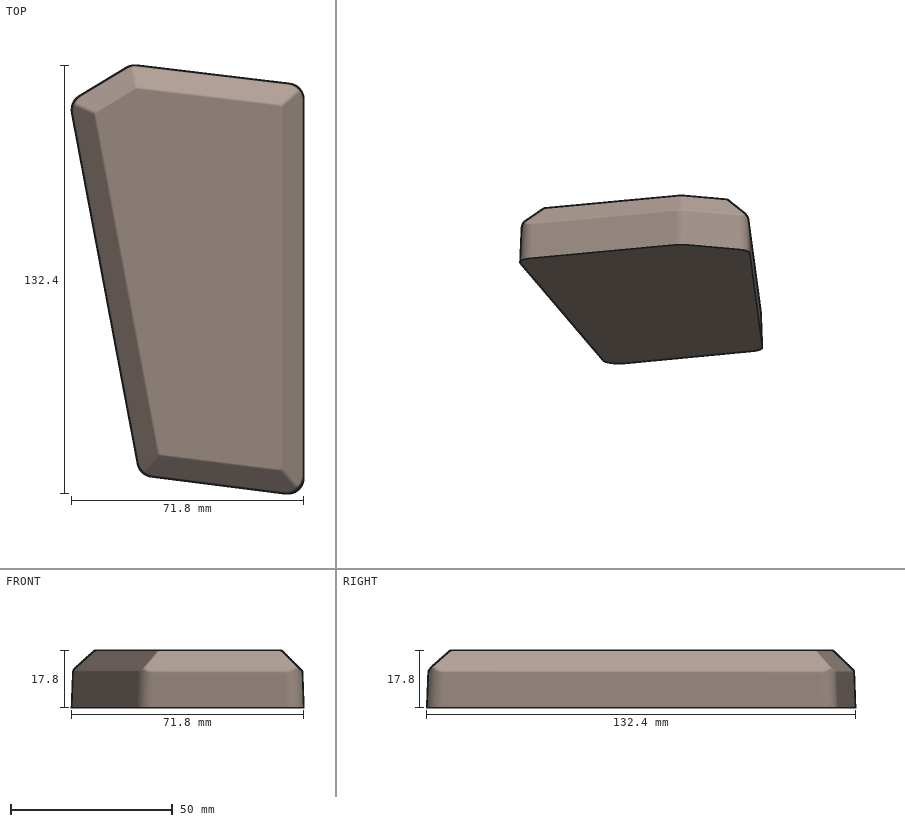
import cadquery as cq
import math

height = 17.78
bevel = 6.5
bevel_angle = 45
wall_height = height - bevel
base_height = 2.4
draft_angle = 2

corner_radius = 5.08
hip_radius = 1.5
edge_radius = 1.0

right_length = 126.9
bottom_lean = math.radians(7.24)
top_lean = math.radians(6.83)
shoulder_lean = math.radians(31.1)
bottom_run = 50.7
top_run = 53.28
shoulder_run = 19.05

bottom_right = (0, 0)
bottom_left = (-bottom_run, bottom_run * math.tan(bottom_lean))
top_right = (0, right_length)
apex = (-top_run, right_length + top_run * math.tan(top_lean))
shoulder = (apex[0] - shoulder_run, apex[1] - shoulder_run * math.tan(shoulder_lean))
outline = [bottom_right, top_right, apex, shoulder, bottom_left]


def sharp_block():
    """Drafted wall carrying a bevelled top, before any rounding."""
    wall = cq.Workplane("XY").polyline(outline).close().extrude(wall_height, taper=draft_angle)
    return wall.faces(">Z").wires().toPending().extrude(bevel, taper=bevel_angle)


def crosses(edge, level):
    """Whether an edge climbs through the given height."""
    box = edge.BoundingBox()
    return box.zmin < level < box.zmax


def round_climbing_edges(block, level, radius):
    """Round every edge that climbs through the given height."""
    climbing = [edge for edge in block.edges().vals() if crosses(edge, level)]
    return block.newObject(climbing).fillet(radius)


def round_bevel_rims(block):
    """Round the loops of edges at the foot and at the top of the bevel."""
    middle_of_bevel = height - bevel / 2
    rims = [
        edge for edge in block.edges().vals()
        if edge.BoundingBox().zmin > base_height and not crosses(edge, middle_of_bevel)
    ]
    return block.newObject(rims).fillet(edge_radius)


def with_parting_line(block):
    """Divide the wall faces at the top of the base band, keeping one solid."""
    ample_size = 4 * right_length
    slab = cq.Workplane("XY").box(ample_size, ample_size, base_height, centered=(True, True, False))
    return block.intersect(slab).union(block.cut(slab), clean=False)


block = sharp_block()
block = round_climbing_edges(block, wall_height / 2, corner_radius)
block = round_climbing_edges(block, height - bevel / 2, hip_radius)
block = round_bevel_rims(block)
result = with_parting_line(block)